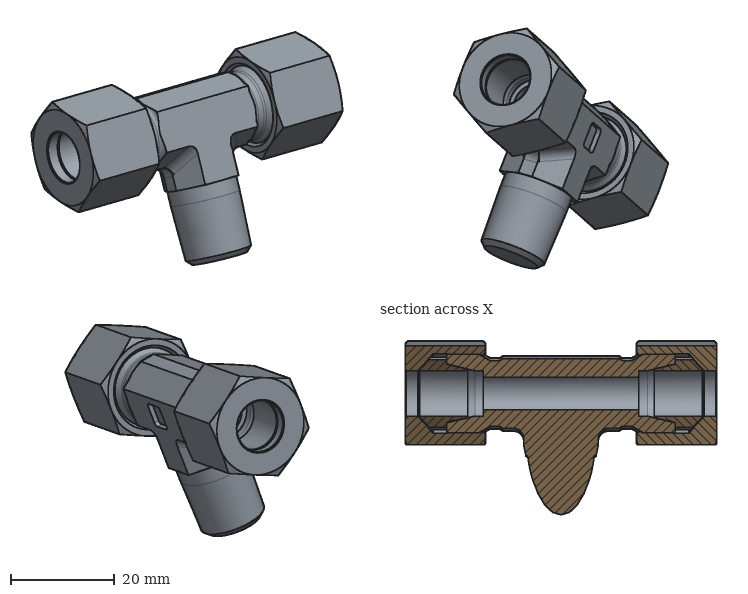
import cadquery as cq
import math


TILT = -22.5
RUN_HALF = 30.0

FORGING_WIDTH = 14.0
FORGING_HEIGHT = 14.4
RUN_HEX_HALF = 11.05
SELECT_MARGIN = 0.1
CROTCH_RADIUS = 2.0
BORE_DIAMETER = 8.0
TUBE_DIAMETER = 10.0
TUBE_STOP = 15.0

STUD_DIAMETER = 16.0
STUD_FACE = 22.0
NECK_DIAMETER = 13.7
NECK_FILLET = 1.0
RUNOUT_START = 13.37
RUNOUT_ANGLE = math.radians(30)
CONE_MOUTH_DIAMETER = 12.3
CONE_ANGLE = math.radians(12)

BRANCH_HEX_LENGTH = 12.1
COLLAR_END = 15.0
BRANCH_LENGTH = 27.0
COLLAR_DIAMETER = 13.7
THREAD_TAPER = 1 / 16
THREAD_CHAMFER = 1.05

MARK_SIZE = 5.0
MARK_CORNER_RADIUS = 0.7
MARK_DEPTH = 1.0

NUT_WIDTH = 19.0
NUT_LENGTH = 15.5
NUT_BORE_DIAMETER = TUBE_DIAMETER
NUT_BORE_LENGTH = 2.4
NUT_MOUTH_CHAMFER = 0.22
NUT_MOUTH_DIAMETER = 16.5
NUT_CHAMFER_ANGLE = math.radians(20)

RING_DIAMETER = 14.0
RING_NOSE_CHAMFER = 0.2
RING_TIP = 18.0

SHOULDER_OUTER = RUN_HALF - NUT_BORE_LENGTH
HEX_CORNER = 2 / math.sqrt(3)
BORE_RADIUS = BORE_DIAMETER / 2
TUBE_RADIUS = TUBE_DIAMETER / 2
STUD_RADIUS = STUD_DIAMETER / 2
NECK_RADIUS = NECK_DIAMETER / 2
NUT_BORE_RADIUS = NUT_BORE_DIAMETER / 2
CONE_MOUTH_RADIUS = CONE_MOUTH_DIAMETER / 2
CONE_DEPTH = (CONE_MOUTH_RADIUS - TUBE_RADIUS) / math.tan(CONE_ANGLE)
RUNOUT_FOOT = RUNOUT_START + NECK_FILLET * math.sin(RUNOUT_ANGLE)
RUNOUT_FOOT_RADIUS = NECK_RADIUS + NECK_FILLET * (1 - math.cos(RUNOUT_ANGLE))
RUNOUT_END = RUNOUT_FOOT + (STUD_RADIUS - RUNOUT_FOOT_RADIUS) / math.tan(RUNOUT_ANGLE)


def revolve_on_run(outline):
    """Turn a closed (radius, distance along Y) outline around the run axis."""
    return outline.close().revolve(360, (0, 0, 0), (0, 1, 0))


def mirror_end(body):
    """The same body at the opposite run end."""
    return body.mirror("XZ")


def flattened_hexagon(sketch_plane):
    """Forged bar section: hexagon with flats facing X and the two corners between them cut flat."""
    half_width = FORGING_WIDTH / 2
    half_height = FORGING_HEIGHT / 2
    corner = half_width / math.sqrt(3)
    flat = (2 * corner - half_height) * math.sqrt(3)
    return sketch_plane.polyline(
        [
            (half_width, -corner),
            (half_width, corner),
            (flat, half_height),
            (-flat, half_height),
            (-half_width, corner),
            (-half_width, -corner),
            (-flat, -half_height),
            (flat, -half_height),
        ]
    ).close()


def run_end_fillet_trim():
    """Waste outside the concave fillet that rounds the run hexagon down to the neck."""
    shoulder_radius = NECK_RADIUS + NECK_FILLET
    fillet_end = RUN_HEX_HALF + NECK_FILLET
    diagonal = NECK_FILLET * (1 - math.sqrt(0.5))
    outline = (
        cq.Workplane("XY")
        .moveTo(NECK_RADIUS, STUD_FACE)
        .lineTo(NECK_RADIUS, fillet_end)
        .threePointArc((NECK_RADIUS + diagonal, RUN_HEX_HALF + diagonal), (shoulder_radius, RUN_HEX_HALF))
        .lineTo(FORGING_WIDTH, RUN_HEX_HALF)
        .lineTo(FORGING_WIDTH, STUD_FACE)
    )
    return revolve_on_run(outline)


def run_end_stud():
    """Neck, thread run-out and stud of one run end."""
    half_angle = RUNOUT_ANGLE / 2
    fillet_middle = (
        NECK_RADIUS + NECK_FILLET * (1 - math.cos(half_angle)),
        RUNOUT_START + NECK_FILLET * math.sin(half_angle),
    )
    outline = (
        cq.Workplane("XY")
        .moveTo(0, RUN_HEX_HALF)
        .lineTo(NECK_RADIUS, RUN_HEX_HALF)
        .lineTo(NECK_RADIUS, RUNOUT_START)
        .threePointArc(fillet_middle, (RUNOUT_FOOT_RADIUS, RUNOUT_FOOT))
        .lineTo(STUD_RADIUS, RUNOUT_END)
        .lineTo(STUD_RADIUS, STUD_FACE)
        .lineTo(0, STUD_FACE)
    )
    return revolve_on_run(outline)


def run_end_bore():
    """Through bore, tube socket and ring cone of one run end."""
    outline = (
        cq.Workplane("XY")
        .lineTo(BORE_RADIUS, 0)
        .lineTo(BORE_RADIUS, TUBE_STOP)
        .lineTo(TUBE_RADIUS, TUBE_STOP)
        .lineTo(TUBE_RADIUS, STUD_FACE - CONE_DEPTH)
        .lineTo(CONE_MOUTH_RADIUS, STUD_FACE)
        .lineTo(0, STUD_FACE)
    )
    return revolve_on_run(outline)


def branch_stub():
    """Collar and taper thread below the branch hexagon, with a 45 degree chamfer at the tip."""
    collar_radius = COLLAR_DIAMETER / 2
    chamfer_start = BRANCH_LENGTH - THREAD_CHAMFER
    thread_end_radius = collar_radius - THREAD_TAPER / 2 * (chamfer_start - COLLAR_END)
    return (
        cq.Workplane("XZ")
        .lineTo(collar_radius, 0)
        .lineTo(collar_radius, -COLLAR_END)
        .lineTo(thread_end_radius, -chamfer_start)
        .lineTo(thread_end_radius - THREAD_CHAMFER, -BRANCH_LENGTH)
        .lineTo(0, -BRANCH_LENGTH)
        .close()
        .revolve(360, (0, 0, 0), (0, 1, 0))
    )


def mark_recess():
    """Rounded square pocket in the flat that faces -X."""
    return (
        cq.Workplane("YZ")
        .workplane(offset=-FORGING_WIDTH / 2)
        .rect(MARK_SIZE, MARK_SIZE)
        .extrude(MARK_DEPTH)
        .edges("|X")
        .fillet(MARK_CORNER_RADIUS)
    )


def make_tee_body():
    run_hex = flattened_hexagon(cq.Workplane("XZ")).extrude(STUD_FACE, both=True)
    branch_hex = flattened_hexagon(cq.Workplane("XY")).extrude(-BRANCH_HEX_LENGTH)
    reach = FORGING_HEIGHT / 2 + CROTCH_RADIUS
    crotch = cq.selectors.BoxSelector(
        (-reach, -reach, -FORGING_HEIGHT / 2 - SELECT_MARGIN),
        (reach, reach, -FORGING_WIDTH / 4),
    )
    forging = run_hex.union(branch_hex).edges(crotch).fillet(CROTCH_RADIUS)
    trim = run_end_fillet_trim()
    stud = run_end_stud()
    bore = run_end_bore()
    body = forging.cut(trim).cut(mirror_end(trim))
    body = body.union(stud).union(mirror_end(stud)).union(branch_stub())
    body = body.cut(bore).cut(mirror_end(bore))
    return body.cut(mark_recess())


def make_nut():
    """Union nut at the +Y end, two corners facing Z; its countersink ends on the thread run-out."""
    inner_face = RUN_HALF - NUT_LENGTH
    corner_radius = NUT_WIDTH * HEX_CORNER / 2
    corner_drop = (corner_radius - NUT_WIDTH / 2) * math.tan(NUT_CHAMFER_ANGLE)
    hexagon = (
        cq.Workplane("XZ")
        .transformed(rotate=(0, 0, 90))
        .polygon(6, 2 * corner_radius)
        .extrude(-RUN_HALF)
    )
    mouth_radius = NUT_MOUTH_DIAMETER / 2
    runout_slope = math.tan(RUNOUT_ANGLE)
    runout_at_face = STUD_RADIUS - (RUNOUT_END - inner_face) * runout_slope
    countersink_depth = (mouth_radius - runout_at_face) / (1 + runout_slope)
    shoulder_start = SHOULDER_OUTER - (STUD_RADIUS - NUT_BORE_RADIUS)
    section = (
        cq.Workplane("XY")
        .moveTo(mouth_radius, inner_face)
        .lineTo(NUT_WIDTH / 2, inner_face)
        .lineTo(corner_radius, inner_face + corner_drop)
        .lineTo(corner_radius, RUN_HALF - corner_drop)
        .lineTo(NUT_WIDTH / 2, RUN_HALF)
        .lineTo(NUT_BORE_RADIUS + NUT_MOUTH_CHAMFER, RUN_HALF)
        .lineTo(NUT_BORE_RADIUS, RUN_HALF - NUT_MOUTH_CHAMFER)
        .lineTo(NUT_BORE_RADIUS, SHOULDER_OUTER)
        .lineTo(STUD_RADIUS, shoulder_start)
        .lineTo(STUD_RADIUS, RUNOUT_END)
        .lineTo(mouth_radius - countersink_depth, inner_face + countersink_depth)
    )
    return hexagon.intersect(revolve_on_run(section))


def make_ring():
    """Cutting ring at the +Y end, between the cone of the body and the 45 degree shoulder of the nut."""
    ring_radius = RING_DIAMETER / 2
    nose_radius = TUBE_RADIUS + RING_NOSE_CHAMFER
    nose = SHOULDER_OUTER - (nose_radius - NUT_BORE_RADIUS)
    tip_radius = CONE_MOUTH_RADIUS - (STUD_FACE - RING_TIP) * math.tan(CONE_ANGLE)
    section = (
        cq.Workplane("XY")
        .moveTo(TUBE_RADIUS, RING_TIP)
        .lineTo(tip_radius, RING_TIP)
        .lineTo(CONE_MOUTH_RADIUS, STUD_FACE)
        .lineTo(ring_radius, STUD_FACE)
        .lineTo(ring_radius, SHOULDER_OUTER - (ring_radius - NUT_BORE_RADIUS))
        .lineTo(nose_radius, nose)
        .lineTo(TUBE_RADIUS, nose - RING_NOSE_CHAMFER)
    )
    return revolve_on_run(section)


def tilt(body):
    return body.rotate((0, 0, 0), (0, 1, 0), TILT)


tee_body = tilt(make_tee_body())
end_bodies = []
for end_body in (make_ring(), make_nut()):
    for placed in (end_body, mirror_end(end_body)):
        end_bodies.append(tilt(placed).val())

result = cq.Compound.makeCompound([tee_body.val(), *end_bodies])